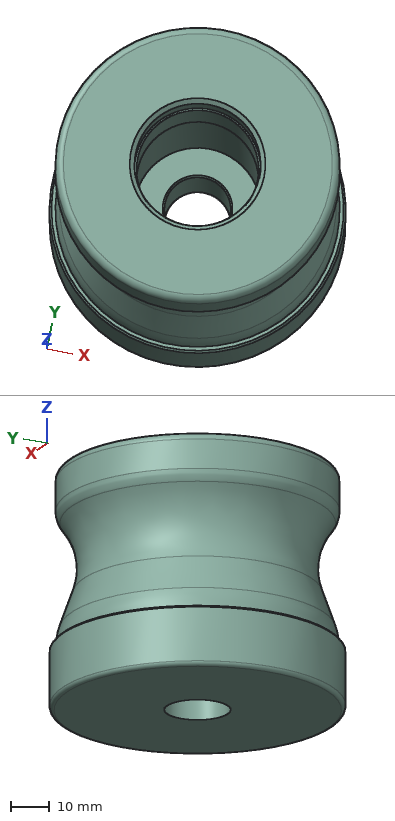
import cadquery as cq
import math

base_radius = 38.1
base_height = 16.15
base_top_chamfer = 0.5
base_bottom_fillet = 1.15
hole_radius = 8.5
hole_chamfer = 0.45

total_height = 63.5
grip_radius = 36.6
lip_top_fillet = 2.0
lip_bottom = 53.6
lip_blend = 5.0
waist_radius = 31.1
waist_curve = 20.0
foot_curve = 16.6

bore_radius = 16.2
land_radius = 15.7
land_top_depth = 5.8
land_bottom_depth = 18.0
mouth_radius = 17.45
mouth_depth = 1.0


def point_on_circle(center, radius, angle):
    """Point (r, z) at an angle in radians, measured from the outward radial direction."""
    return (center[0] + radius * math.cos(angle), center[1] + radius * math.sin(angle))


def make_base():
    disc = cq.Workplane("XY").circle(base_radius).extrude(base_height)
    disc = disc.faces(">Z").edges().chamfer(base_top_chamfer)
    disc = disc.faces("<Z").edges().fillet(base_bottom_fillet)
    disc = disc.cut(cq.Workplane("XY").circle(hole_radius).extrude(base_height))
    hole_rim = disc.faces(">Z").edges(cq.selectors.RadiusNthSelector(0))
    return hole_rim.chamfer(hole_chamfer)


def make_knob_blank():
    """Solid of revolution whose waist curve is tangent to the lip blend and to the cone below it."""
    lip_center = (grip_radius - lip_blend, lip_bottom)
    foot_center = (grip_radius - foot_curve, base_height)
    waist_center_r = waist_radius + waist_curve

    radial_gap = waist_center_r - lip_center[0]
    waist_drop = math.sqrt((waist_curve + lip_blend) ** 2 - radial_gap ** 2)
    waist_center = (waist_center_r, lip_bottom - waist_drop)
    lip_angle = -math.atan2(waist_drop, radial_gap)

    foot_dr = waist_center[0] - foot_center[0]
    foot_dz = waist_center[1] - foot_center[1]
    center_distance = math.hypot(foot_dr, foot_dz)
    cone_angle = math.atan2(foot_dz, foot_dr) - math.acos((foot_curve + waist_curve) / center_distance)

    lip_end = point_on_circle(lip_center, lip_blend, lip_angle)
    lip_middle = point_on_circle(lip_center, lip_blend, lip_angle / 2)
    waist_middle = (waist_radius, waist_center[1])
    cone_top = point_on_circle(waist_center, waist_curve, math.pi + cone_angle)
    cone_bottom = point_on_circle(foot_center, foot_curve, cone_angle)
    foot_middle = point_on_circle(foot_center, foot_curve, cone_angle / 2)

    profile = (
        cq.Workplane("XZ")
        .moveTo(0, total_height)
        .lineTo(grip_radius, total_height)
        .lineTo(grip_radius, lip_bottom)
        .threePointArc(lip_middle, lip_end)
        .threePointArc(waist_middle, cone_top)
        .lineTo(*cone_bottom)
        .threePointArc(foot_middle, (grip_radius, base_height))
        .lineTo(0, base_height)
        .close()
    )
    blank = profile.revolve(360, (0, 0, 0), (0, 1, 0))
    return blank.faces(">Z").edges().fillet(lip_top_fillet)


def make_bore():
    land_top = total_height - land_top_depth
    land_bottom = total_height - land_bottom_depth
    outline = [
        (0, base_height),
        (bore_radius, base_height),
        (bore_radius, land_bottom),
        (land_radius, land_bottom),
        (land_radius, land_top),
        (bore_radius, land_top),
        (bore_radius, total_height - mouth_depth),
        (mouth_radius, total_height),
        (0, total_height),
    ]
    return cq.Workplane("XZ").polyline(outline).close().revolve(360, (0, 0, 0), (0, 1, 0))


base = make_base()
knob = make_knob_blank().cut(make_bore())

result = cq.Compound.makeCompound([base.val(), knob.val()])